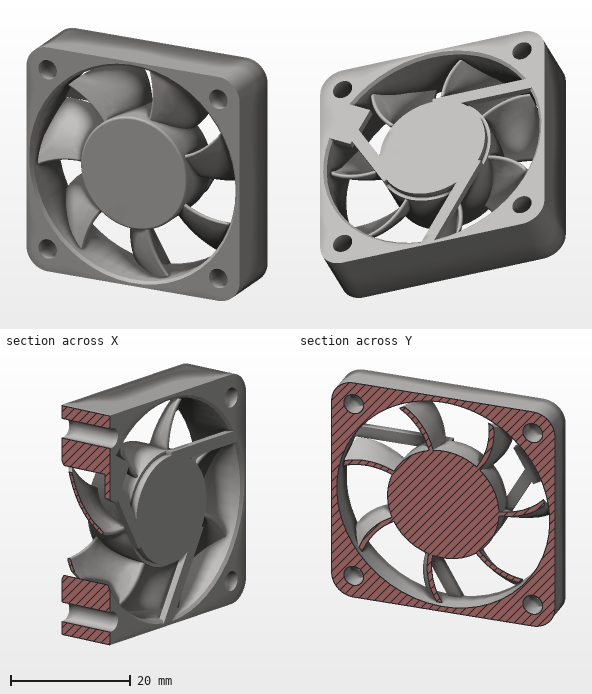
import cadquery as cq
import math

side = 40.0
depth = 10.5
corner_radius = 4.0
hole_diameter = 3.45
hole_spacing = 32.0

duct_diameter = 38.0
mouth_chamfer = 0.5

hub_diameter = 20.0
hub_fillet = 0.4
hub_front = 0.25
hub_back = 9.3
base_diameter = 18.8

blade_count = 7
blade_direction = 164.0
blade_sections = [(8.8, 16.8, -18.3), (13.6, 17.2, -16.5), (18.4, 23.5, -9.5)]
blade_tip_radius = 18.55
blade_thickness = 0.7
blade_front = 1.3
blade_back = 9.0
blade_camber = 1.2

strut_count = 3
strut_width = 2.1
strut_thickness = 1.2
strut_outer_offset = hub_diameter / 2

tab_angle = 30.0
tab_inner_offset = 14.85
tab_width = 7.1

rim_diameter = duct_diameter + 2 * mouth_chamfer
rim_radius = rim_diameter / 2


def section(y):
    """Workplane at depth y whose extrusions run toward the front."""
    return cq.Workplane("XZ", origin=(0, y, 0))


def disk(diameter, front, back):
    return section(back).circle(diameter / 2).extrude(back - front)


def spin(body, angle):
    """Turn a body counterclockwise as seen from the front."""
    return body.rotate((0, 0, 0), (0, -1, 0), angle)


def make_frame():
    frame = section(depth).rect(side, side).extrude(depth).edges("|Y").fillet(corner_radius)
    holes = (
        section(depth)
        .rect(hole_spacing, hole_spacing, forConstruction=True)
        .vertices()
        .circle(hole_diameter / 2)
        .extrude(depth)
    )
    frame = frame.cut(holes).cut(disk(duct_diameter, 0, depth))
    mouth_edges = frame.edges(cq.selectors.RadiusNthSelector(-1))
    return mouth_edges.chamfer(mouth_chamfer)


def make_hub():
    hub = disk(hub_diameter, hub_front, hub_back)
    hub = hub.faces("<Y").fillet(hub_fillet)
    return hub.union(disk(base_diameter, hub_back, depth))


def blade_section(distance, front_angle, back_angle):
    """Round-ended arc section; its local axes run toward the front edge and the front face."""
    half = blade_thickness / 2
    front_x = distance * math.tan(math.radians(front_angle)) - half
    back_x = distance * math.tan(math.radians(back_angle)) + half
    front_y = -blade_front - half
    back_y = -blade_back + half
    run = front_x - back_x
    rise = front_y - back_y
    chord = math.hypot(run, rise)

    radius = chord**2 / (8 * blade_camber) + blade_camber / 2
    centre_drop = radius - blade_camber
    centre_x = (front_x + back_x) / 2 + centre_drop * rise / chord
    centre_y = (front_y + back_y) / 2 - centre_drop * run / chord
    middle_direction = math.atan2(run, -rise)
    half_sweep = math.asin(chord / 2 / radius)
    round_sweep = half / radius

    def arc_point(offset, turn):
        """Point offset outward from the camber circle, turned toward the back edge."""
        direction = middle_direction + turn
        return (
            centre_x + (radius + offset) * math.cos(direction),
            centre_y + (radius + offset) * math.sin(direction),
        )

    plane = cq.Plane(origin=(distance, 0, 0), xDir=(0, 0, 1), normal=(1, 0, 0))
    outline = (
        cq.Workplane(plane)
        .moveTo(*arc_point(half, -half_sweep))
        .threePointArc(arc_point(half, 0), arc_point(half, half_sweep))
        .threePointArc(arc_point(0, half_sweep + round_sweep), arc_point(-half, half_sweep))
        .threePointArc(arc_point(-half, 0), arc_point(-half, -half_sweep))
        .threePointArc(arc_point(0, -half_sweep - round_sweep), arc_point(half, -half_sweep))
        .wire()
    )
    return outline.val()


def make_blade():
    outlines = [blade_section(*section_sizes) for section_sizes in blade_sections]
    blade = cq.Workplane(cq.Solid.makeLoft(outlines))
    blade = blade.intersect(disk(2 * blade_tip_radius, 0, depth))
    return spin(blade, blade_direction)


def make_strut():
    strut = (
        section(depth)
        .center(-rim_radius / 2, strut_outer_offset - strut_width / 2)
        .rect(rim_radius, strut_width)
        .extrude(strut_thickness)
    )
    return strut.intersect(disk(rim_diameter, 0, depth))


def make_tab():
    tab_length = rim_radius - tab_inner_offset
    tab = (
        section(depth)
        .center(tab_inner_offset + tab_length / 2, 0)
        .rect(tab_length, tab_width)
        .extrude(strut_thickness)
    )
    return spin(tab.intersect(disk(rim_diameter, 0, depth)), tab_angle)


result = make_frame().union(make_hub()).union(make_tab())

strut = make_strut()
for index in range(strut_count):
    result = result.union(spin(strut, index * 360 / strut_count))

blade = make_blade()
for index in range(blade_count):
    result = result.union(spin(blade, index * 360 / blade_count))